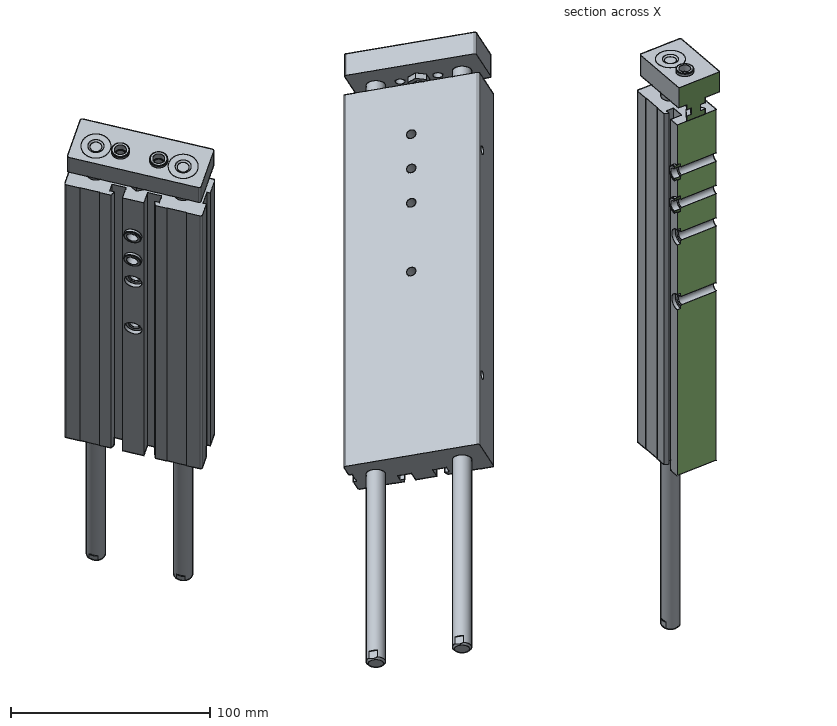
import cadquery as cq
import math

OVERALL_HEIGHT = 351.0
OVERLAP = 3.5

HOUSING_WIDTH = 72.0
HOUSING_FRONT = -11.5
HOUSING_BACK = 12.3
HOUSING_BOTTOM = 110.2
HOUSING_TOP = 326.8
HOUSING_FILLET = 1.0

RIB_HALF_WIDTH = 5.5
SLOT_LIP = 10.5
SLOT_LIP_FLARE = 1.0
SLOT_UNDERCUT = 2.5
SLOT_LIP_DEPTH = 2.5
SLOT_DEPTH = 6.5

CHANNEL_WIDTH = 10.2
CHANNEL_DEPTH = 0.18
SIDE_GROOVE_WIDTH = 7.0
SIDE_GROOVE_DEPTH = 1.8

MOUNT_PITCH = 20.0
TOP_MOUNT_Z = 297.3
MOUNT_PITCHES_DOWN = (0, 1, 2, 4)
SLEEVED_MOUNTS = 2
MOUNT_HOLE_DIAMETER = 5.0
MOUNT_MOUTH_DIAMETER = 6.0

PORT_DIAMETER = 4.2
PORT_DEPTH = 3.5
PORT_POINT_ANGLE = 118.0
PORT_Y = 7.5
PORT_HEIGHTS = (153.0, 284.0)

SLEEVE_DIAMETER = 9.0
SLEEVE_BORE = 6.0
SLEEVE_SEAT_DEPTH = 2.0
SLEEVE_STAND_OUT = 1.8
SLEEVE_CHAMFER = 0.5
SLEEVE_LENGTH = SLEEVE_SEAT_DEPTH + SLEEVE_STAND_OUT

PLATE_WIDTH = 70.0
PLATE_FRONT = -10.5
PLATE_BACK = 14.5
PLATE_THICKNESS = 12.5
PLATE_TOP = OVERALL_HEIGHT - SLEEVE_STAND_OUT
PLATE_BOTTOM = PLATE_TOP - PLATE_THICKNESS
PLATE_FILLET = 1.0
PLATE_HOLE_DIAMETER = 5.0

HEX_SIDES = 6
STOP_FLATS = 10.0
STOP_NECK_DIAMETER = 5.5
LOCK_NUT_HEIGHT = 3.0
STOP_HEAD_HEIGHT = 3.0

ROD_DIAMETER = 10.0
ROD_X = 22.8
ROD_CHAMFER = 1.0
ROD_FLAT_WIDTH = 4.5
ROD_FLAT_HEIGHT = 5.0
ROD_HEAD_DIAMETER = 15.0
ROD_HEAD_HEIGHT = 3.5
RECESS_MOUTH_DIAMETER = 8.0
RECESS_FLOOR_DIAMETER = 6.0
RECESS_DEPTH = 0.7

MOUNT_HEIGHTS = [TOP_MOUNT_Z - step * MOUNT_PITCH for step in MOUNT_PITCHES_DOWN]
PLATE_SLEEVE_X = MOUNT_PITCH / 2


def block(x_range, y_range, z_range):
    """Box between the given limits."""
    (x0, x1), (y0, y1), (z0, z1) = x_range, y_range, z_range
    return cq.Workplane("XY").box(x1 - x0, y1 - y0, z1 - z0, centered=False).translate((x0, y0, z0))


def cylinder(diameter, length, start, direction):
    """Cylinder running from start along direction."""
    return cq.Workplane(cq.Solid.makeCylinder(diameter / 2, length, cq.Vector(*start), cq.Vector(*direction)))


def cone(start_diameter, end_diameter, length, start, direction):
    """Cone or frustum running from start along direction."""
    start_radius = start_diameter / 2
    end_radius = end_diameter / 2
    solid = cq.Solid.makeCone(start_radius, end_radius, length, cq.Vector(*start), cq.Vector(*direction))
    return cq.Workplane(solid)


def upright(diameter, x, bottom, top):
    """Vertical cylinder at y = 0."""
    return cylinder(diameter, top - bottom, (x, 0, bottom), (0, 0, 1))


def slot_cutter(side):
    """Slot beside the rib, undercut behind its flared outer lip; side is -1 or 1."""
    lip_back = HOUSING_FRONT + SLOT_LIP_DEPTH
    slot_floor = HOUSING_FRONT + SLOT_DEPTH
    outline = [
        (RIB_HALF_WIDTH, HOUSING_FRONT),
        (SLOT_LIP + SLOT_LIP_FLARE, HOUSING_FRONT),
        (SLOT_LIP, lip_back),
        (SLOT_LIP + SLOT_UNDERCUT, lip_back),
        (SLOT_LIP + SLOT_UNDERCUT, slot_floor),
        (RIB_HALF_WIDTH, slot_floor),
    ]
    return (
        cq.Workplane("XY", origin=(0, 0, HOUSING_BOTTOM))
        .polyline([(side * x, y) for x, y in outline])
        .close()
        .extrude(HOUSING_TOP - HOUSING_BOTTOM)
    )


def make_housing():
    """Slotted housing with rod bores, mounting holes and air ports."""
    half_width = HOUSING_WIDTH / 2
    height_range = (HOUSING_BOTTOM, HOUSING_TOP)
    body = block((-half_width, half_width), (HOUSING_FRONT, HOUSING_BACK), height_range)
    body = body.edges("|Z").fillet(HOUSING_FILLET)

    for side in (-1, 1):
        rod_x = side * ROD_X
        channel_x = (rod_x - CHANNEL_WIDTH / 2, rod_x + CHANNEL_WIDTH / 2)
        body = body.cut(slot_cutter(side))
        body = body.cut(block(channel_x, (HOUSING_FRONT, HOUSING_FRONT + CHANNEL_DEPTH), height_range))
        body = body.cut(upright(ROD_DIAMETER, rod_x, HOUSING_BOTTOM, HOUSING_TOP))

    groove_x = (half_width - SIDE_GROOVE_DEPTH, half_width)
    body = body.cut(block(groove_x, (-SIDE_GROOVE_WIDTH / 2, SIDE_GROOVE_WIDTH / 2), height_range))

    for z in MOUNT_HEIGHTS:
        front_centre = (0, HOUSING_FRONT, z)
        body = body.cut(cylinder(MOUNT_HOLE_DIAMETER, HOUSING_BACK - HOUSING_FRONT, front_centre, (0, 1, 0)))
        body = body.cut(cylinder(SLEEVE_DIAMETER, SLEEVE_SEAT_DEPTH, front_centre, (0, 1, 0)))
        seat_floor = (0, HOUSING_FRONT + SLEEVE_SEAT_DEPTH, z)
        mouth_depth = (MOUNT_MOUTH_DIAMETER - MOUNT_HOLE_DIAMETER) / 2
        body = body.cut(cone(MOUNT_MOUTH_DIAMETER, MOUNT_HOLE_DIAMETER, mouth_depth, seat_floor, (0, 1, 0)))

    point_length = PORT_DIAMETER / 2 / math.tan(math.radians(PORT_POINT_ANGLE / 2))
    for z in PORT_HEIGHTS:
        body = body.cut(cylinder(PORT_DIAMETER, PORT_DEPTH, (-half_width, PORT_Y, z), (1, 0, 0)))
        point_start = (PORT_DEPTH - half_width, PORT_Y, z)
        body = body.cut(cone(PORT_DIAMETER, 0, point_length, point_start, (1, 0, 0)))
    return body


def hexagon(bottom, height):
    """Hexagonal prism with corners pointing along Y."""
    corner_diameter = STOP_FLATS / math.cos(math.pi / HEX_SIDES)
    prism = cq.Workplane("XY").polygon(HEX_SIDES, corner_diameter).extrude(height)
    return prism.rotate((0, 0, 0), (0, 0, 1), 90).translate((0, 0, bottom))


def make_plate():
    """Yoke plate with the stop screw and its lock nut."""
    plate = block(
        (-PLATE_WIDTH / 2, PLATE_WIDTH / 2), (PLATE_FRONT, PLATE_BACK), (PLATE_BOTTOM, PLATE_TOP)
    )
    plate = plate.edges("|Z").fillet(PLATE_FILLET)

    for side in (-1, 1):
        rod_x = side * ROD_X
        sleeve_x = side * PLATE_SLEEVE_X
        plate = plate.cut(upright(ROD_DIAMETER, rod_x, PLATE_BOTTOM, PLATE_TOP))
        plate = plate.cut(upright(ROD_HEAD_DIAMETER, rod_x, PLATE_TOP - ROD_HEAD_HEIGHT, PLATE_TOP))
        plate = plate.cut(upright(PLATE_HOLE_DIAMETER, sleeve_x, PLATE_BOTTOM, PLATE_TOP))
        plate = plate.cut(upright(SLEEVE_DIAMETER, sleeve_x, PLATE_TOP - SLEEVE_SEAT_DEPTH, PLATE_TOP))

    neck = upright(STOP_NECK_DIAMETER, 0, HOUSING_TOP, PLATE_BOTTOM)
    lock_nut = hexagon(PLATE_BOTTOM - LOCK_NUT_HEIGHT, LOCK_NUT_HEIGHT)
    head = hexagon(HOUSING_TOP, STOP_HEAD_HEIGHT)
    return plate.union(neck).union(lock_nut).union(head)


def make_rod(x):
    """Guide rod with a dished head at the top and two flats at the bottom."""
    radius = ROD_DIAMETER / 2
    shaft = upright(ROD_DIAMETER, x, 0, PLATE_TOP).faces("<Z").chamfer(ROD_CHAMFER)

    flat_y = math.sqrt(radius**2 - (ROD_FLAT_WIDTH / 2) ** 2)
    for inner, outer in ((flat_y, radius + OVERLAP), (-radius - OVERLAP, -flat_y)):
        shaft = shaft.cut(block((x - radius, x + radius), (inner, outer), (0, ROD_FLAT_HEIGHT)))

    head = upright(ROD_HEAD_DIAMETER, x, PLATE_TOP - ROD_HEAD_HEIGHT, PLATE_TOP)
    recess = cone(
        RECESS_MOUTH_DIAMETER, RECESS_FLOOR_DIAMETER, RECESS_DEPTH, (x, 0, PLATE_TOP), (0, 0, -1)
    )
    return shaft.union(head).cut(recess)


def make_sleeve(seat_centre, direction):
    """Centring sleeve standing on the floor of its seat and pointing along direction."""
    plane = cq.Plane(origin=seat_centre, xDir=(1, 0, 0), normal=direction)
    sleeve = cq.Workplane(plane).circle(SLEEVE_DIAMETER / 2).extrude(SLEEVE_LENGTH)
    sleeve = sleeve.faces(cq.selectors.DirectionMinMaxSelector(cq.Vector(*direction))).chamfer(SLEEVE_CHAMFER)
    return sleeve.cut(cq.Workplane(plane).circle(SLEEVE_BORE / 2).extrude(SLEEVE_LENGTH))


housing = make_housing()
plate = make_plate()
rods = [make_rod(side * ROD_X) for side in (-1, 1)]
housing_sleeves = [
    make_sleeve((0, HOUSING_FRONT + SLEEVE_SEAT_DEPTH, z), (0, -1, 0)) for z in MOUNT_HEIGHTS[:SLEEVED_MOUNTS]
]
plate_sleeves = [
    make_sleeve((side * PLATE_SLEEVE_X, 0, PLATE_TOP - SLEEVE_SEAT_DEPTH), (0, 0, 1)) for side in (-1, 1)
]

small_parts = [*rods, *housing_sleeves, *plate_sleeves]
result = cq.Compound.makeCompound([housing.val(), plate.val(), *[part.val() for part in small_parts]])